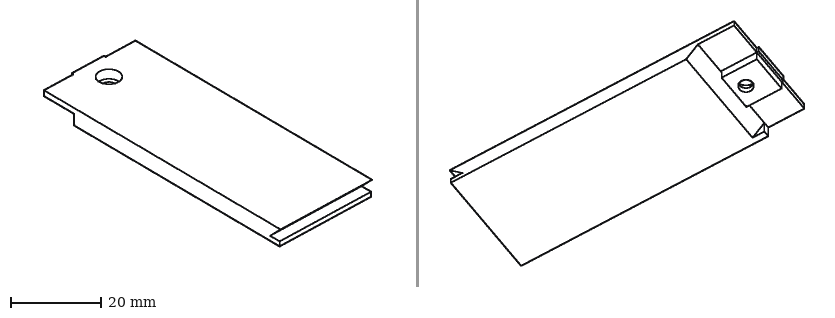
import cadquery as cq

length = 76.35
width = 28.2
height = 4.7

plate_thickness = 1.6
lip_projection = 0.5
plate_bottom = height - plate_thickness

body_start = 10.15
wall_thickness = 1.6

flange_thickness = 1.4
flange_setback = 0.3
undercut_depth = height - flange_thickness

tongue_width = 9.9
tongue_end = 9.9
tongue_bottom = 0.7

hole_x = 6.7
hole_diameter = 3.4
counterbore_diameter = 5.9
counterbore_depth = 2.6


def block(x_start, x_end, y_size, z_start, z_end):
    """Box centred on Y between the given X and Z limits."""
    box = cq.Workplane("XY").box(x_end - x_start, y_size, z_end - z_start, centered=(False, True, False))
    return box.translate((x_start, 0, z_start))


def lower_body():
    """Solid body whose left end slopes back towards the bottom, except at the square front wall."""
    profile = [
        (body_start, plate_bottom),
        (body_start + plate_bottom, 0),
        (length, 0),
        (length, plate_bottom),
    ]
    body = cq.Workplane("XZ").polyline(profile).close().extrude(width / 2, both=True)
    wall = block(body_start, length, wall_thickness, 0, plate_bottom)
    return body.union(wall.translate((0, (wall_thickness - width) / 2, 0)))


def end_undercut():
    """Cutter leaving a sharp upper edge and a slightly shorter bottom flange."""
    profile = [
        (length, height),
        (length - undercut_depth, flange_thickness),
        (length - flange_setback, flange_thickness),
        (length - flange_setback, 0),
        (length, 0),
    ]
    return cq.Workplane("XZ").polyline(profile).close().extrude(width / 2, both=True)


plate = block(lip_projection, length, width, plate_bottom, height)
lip = block(0, lip_projection, tongue_width, plate_bottom, height)
tongue = block(lip_projection, tongue_end, tongue_width, tongue_bottom, plate_bottom)

solid = plate.union(lip).union(tongue).union(lower_body()).cut(end_undercut())
result = (
    solid.faces(">Z")
    .workplane(origin=(hole_x, 0, height))
    .cboreHole(hole_diameter, counterbore_diameter, counterbore_depth)
)